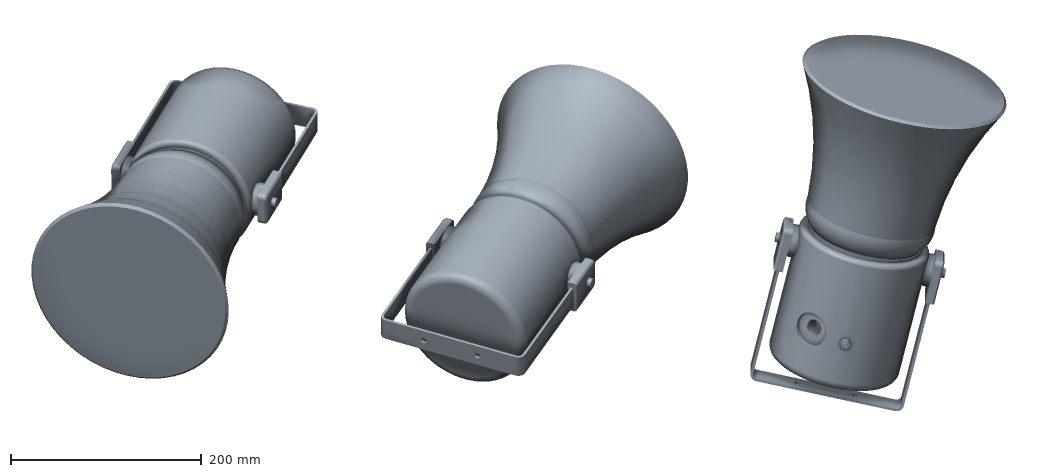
import cadquery as cq
import math


mouth_radius = 110.0
mouth_face_radius = 107.0
rim_depth = 2.5
bell_mid_y = 76.5
bell_mid_radius = 81.0
throat_y = 153.3
throat_radius = 69.0
shoulder_mid_y = 172.5
shoulder_mid_radius = 65.7
shoulder_end_y = 179.2
shoulder_end_radius = 60.5

neck_radius = 62.0
neck_front_y = 180.3
housing_radius = 70.0
housing_front_y = 183.2
housing_back_y = 333.2
front_fillet = 5.0
back_fillet = 10.0

hinge_y = 205.0
hinge_boss_radius = 17.5
pad_inner_x = 76.5
pad_thickness = 10.0
pad_outer_x = pad_inner_x + pad_thickness
pad_front_y = 186.5
pad_back_y = 235.0
pad_height = 37.2
pad_corner_radius = 5.5
pad_chamfer = 2.0
bolt_radius = 5.0
bolt_end_x = 91.2

bracket_half_width = 82.5
bracket_back_y = 365.0
strap_thickness = 2.75
strap_height = 25.0
strap_bend_radius = 8.0
strap_hole_spacing = 62.0
strap_hole_diameter = 7.0

entry_y = 275.0
entry_angle = 57.5
entry_seat_radius = 18.2
entry_seat_distance = 62.0
entry_hole_radius = 8.8
entry_hole_depth = 18.2
stud_diameter = 4.7
stud_end_z = -83.0
washer_top_z = -74.5
washer_thickness = 2.0
nut_width = 8.8
nut_height = 3.5
nut_turn = 30.0


def cylinder_along(start, direction, radius, length):
    """Cylinder from a start point along a direction."""
    solid = cq.Solid.makeCylinder(radius, length, cq.Vector(*start), cq.Vector(*direction))
    return cq.Workplane(obj=solid)


def make_horn_and_housing():
    """Revolve the bell, shoulder, neck and housing as one body."""
    profile = (
        cq.Workplane("XY")
        .lineTo(mouth_face_radius, 0)
        .lineTo(mouth_radius, rim_depth)
        .threePointArc((bell_mid_radius, bell_mid_y), (throat_radius, throat_y))
        .threePointArc((shoulder_mid_radius, shoulder_mid_y), (shoulder_end_radius, shoulder_end_y))
        .lineTo(shoulder_end_radius, neck_front_y)
        .lineTo(neck_radius, neck_front_y)
        .lineTo(neck_radius, housing_front_y)
        .lineTo(0, housing_front_y)
        .close()
    )
    horn = profile.revolve(360, (0, 0, 0), (0, 1, 0))
    housing = cylinder_along(
        (0, housing_front_y, 0), (0, 1, 0), housing_radius, housing_back_y - housing_front_y
    )
    housing = housing.faces("<Y").edges().fillet(front_fillet)
    housing = housing.faces(">Y").edges().fillet(back_fillet)
    return horn.union(housing)


def make_hinge(side):
    """Boss, pad and bolt on one side of the housing (side is -1 or +1)."""
    start = (0, hinge_y, 0)
    outward = (side, 0, 0)
    boss = cylinder_along(start, outward, hinge_boss_radius, pad_inner_x)
    bolt = cylinder_along(start, outward, bolt_radius, bolt_end_x)
    pad = (
        cq.Workplane("XY")
        .box(pad_thickness, pad_back_y - pad_front_y, pad_height)
        .edges("|X and <Y")
        .fillet(pad_corner_radius)
    )
    outer_face = ">X" if side > 0 else "<X"
    pad = pad.faces(outer_face).edges("not >Y").chamfer(pad_chamfer)
    pad = pad.translate((
        side * (pad_inner_x + pad_outer_x) / 2,
        (pad_front_y + pad_back_y) / 2,
        0,
    ))
    return boss.union(bolt).union(pad)


def make_bracket():
    """Flat strap bent into a U, open toward the horn, with two mounting holes."""
    def u_block(half_width, back_y, bend_radius):
        length = back_y - hinge_y
        return (
            cq.Workplane("XY")
            .box(2 * half_width, length, strap_height)
            .edges("|Z and >Y")
            .fillet(bend_radius)
            .translate((0, back_y - length / 2, 0))
        )

    outer = u_block(bracket_half_width, bracket_back_y, strap_bend_radius)
    inner = u_block(
        bracket_half_width - strap_thickness,
        bracket_back_y - strap_thickness,
        strap_bend_radius - strap_thickness,
    )
    return (
        outer.cut(inner)
        .faces(">Y")
        .workplane(centerOption="CenterOfBoundBox")
        .rarray(strap_hole_spacing, 3.5, 2, 1)
        .hole(strap_hole_diameter, strap_thickness)
    )


def make_cable_entry():
    """Flat seat and blind hole, both cut toward the horn axis."""
    angle = math.radians(entry_angle)
    outward = (-math.cos(angle), 0, -math.sin(angle))

    def point_at(distance):
        return (distance * outward[0], entry_y, distance * outward[2])

    seat = cylinder_along(
        point_at(entry_seat_distance), outward, entry_seat_radius, housing_radius - entry_seat_distance
    )
    hole = cylinder_along(
        point_at(entry_seat_distance - entry_hole_depth), outward, entry_hole_radius, entry_hole_depth
    )
    return seat.union(hole)


def make_earth_stud():
    """Threaded stud with a washer and a hexagon nut under the housing."""
    down = (0, 0, -1)
    stud = cylinder_along((0, entry_y, 0), down, stud_diameter / 2, -stud_end_z)
    washer = cylinder_along((0, entry_y, washer_top_z), down, nut_width / 2, washer_thickness)
    nut = (
        cq.Workplane("XY", origin=(0, entry_y, washer_top_z - washer_thickness))
        .transformed(rotate=(0, 0, nut_turn))
        .polygon(6, nut_width, circumscribed=True)
        .extrude(-nut_height)
    )
    return stud.union(washer).union(nut)


result = make_horn_and_housing().cut(make_cable_entry())
result = result.union(make_earth_stud()).union(make_bracket())
for hinge_side in (-1, 1):
    result = result.union(make_hinge(hinge_side))